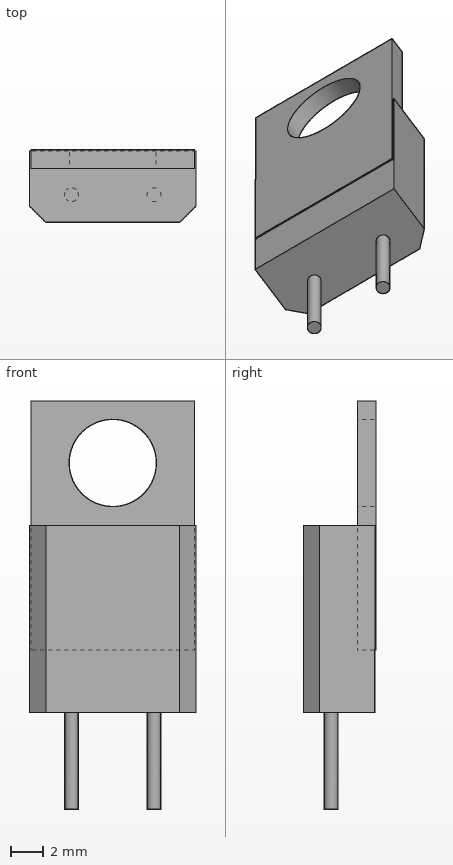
import cadquery as cq

TOTAL_HEIGHT = 25.25

HOUSING_WIDTH = 10.3
HOUSING_DEPTH = 4.42
HOUSING_HEIGHT = 11.56
HOUSING_CHAMFER = 1.0

TAB_WIDTH = 10.13
TAB_THICKNESS = 1.15
TAB_HEIGHT = 15.4
TAB_STANDOUT = 0.08
TAB_HOLE_DIAMETER = 5.38
TAB_HOLE_FROM_TOP = 3.85

PIN_DIAMETER = 0.85
PIN_LENGTH = 5.98
PIN_SPACING = 5.1
PIN_FROM_BACK = 2.78

housing_back = -TAB_STANDOUT
housing_front = housing_back - HOUSING_DEPTH
tab_bottom = TOTAL_HEIGHT - TAB_HEIGHT


def make_tab_blank():
    """Solid plate before its mounting hole is cut; also the shape of the housing recess."""
    return (
        cq.Workplane("XY", origin=(0, -TAB_THICKNESS / 2, tab_bottom))
        .rect(TAB_WIDTH, TAB_THICKNESS)
        .extrude(TAB_HEIGHT)
    )


def make_tab():
    """Plate with a round mounting hole through its exposed upper part."""
    hole_height = TOTAL_HEIGHT - TAB_HOLE_FROM_TOP
    hole = (
        cq.Workplane("XZ", origin=(0, 0, hole_height))
        .circle(TAB_HOLE_DIAMETER / 2)
        .extrude(TAB_THICKNESS)
    )
    return make_tab_blank().cut(hole)


def make_housing():
    """Block with chamfered front edges and a recess that holds the lower part of the tab."""
    block = (
        cq.Workplane("XY", origin=(0, (housing_back + housing_front) / 2, PIN_LENGTH))
        .rect(HOUSING_WIDTH, HOUSING_DEPTH)
        .extrude(HOUSING_HEIGHT)
    )
    chamfered = block.faces("<Y").edges("|Z").chamfer(HOUSING_CHAMFER)
    return chamfered.cut(make_tab_blank())


def make_pin(x):
    """Round pin that ends against the underside of the housing."""
    return (
        cq.Workplane("XY", origin=(x, -PIN_FROM_BACK, 0))
        .circle(PIN_DIAMETER / 2)
        .extrude(PIN_LENGTH)
    )


housing = make_housing()
tab = make_tab()
pins = [make_pin(side * PIN_SPACING / 2) for side in (-1, 1)]

result = cq.Compound.makeCompound([housing.val(), tab.val(), *[pin.val() for pin in pins]])